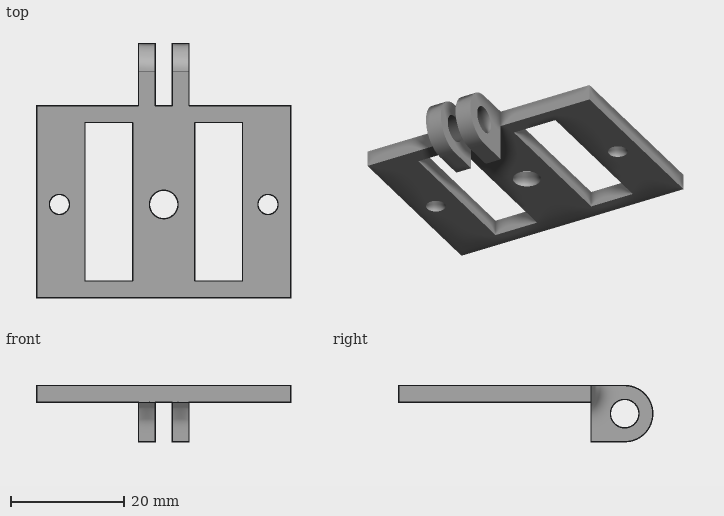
import cadquery as cq

plate_width = 45.0
total_depth = 45.0
thickness = 3.0

lug_height = 10.0
lug_radius = lug_height / 2
lug_length = 11.0
lug_thickness = thickness
lug_gap = 2.95
pin_diameter = 5.0
plate_depth = total_depth - lug_length

web_width = 11.0
window_width = 8.4
window_border = thickness
window_length = plate_depth - 2 * window_border

center_hole_diameter = 5.0
side_hole_diameter = 3.5
side_hole_spacing = 36.9
hole_line_y = -17.5


def make_plate():
    plate = cq.Workplane("XY").box(
        plate_width, plate_depth, thickness, centered=(True, False, False)
    )
    return plate.translate((0, -plate_depth, -thickness))


def make_windows():
    offset = (web_width + window_width) / 2
    return (
        cq.Workplane("XY")
        .pushPoints([(-offset, -plate_depth / 2), (offset, -plate_depth / 2)])
        .rect(window_width, window_length)
        .extrude(-thickness)
    )


def make_plate_holes():
    center_hole = (
        cq.Workplane("XY")
        .center(0, hole_line_y)
        .circle(center_hole_diameter / 2)
        .extrude(-thickness)
    )
    side_holes = (
        cq.Workplane("XY")
        .pushPoints([(side * side_hole_spacing / 2, hole_line_y) for side in (-1, 1)])
        .circle(side_hole_diameter / 2)
        .extrude(-thickness)
    )
    return center_hole.union(side_holes)


def make_lug(x_start):
    """Round-ended lug with a pin hole, extending +X from x_start."""
    pin_y = lug_length - lug_radius
    outline = (
        cq.Workplane("YZ", origin=(x_start, 0, 0))
        .lineTo(pin_y, 0)
        .threePointArc((lug_length, -lug_radius), (pin_y, -lug_height))
        .lineTo(0, -lug_height)
        .close()
        .extrude(lug_thickness)
    )
    pin_hole = (
        cq.Workplane("YZ", origin=(x_start, pin_y, -lug_radius))
        .circle(pin_diameter / 2)
        .extrude(lug_thickness)
    )
    return outline.cut(pin_hole)


result = make_plate().cut(make_windows()).cut(make_plate_holes())
for lug_start in (-lug_gap / 2 - lug_thickness, lug_gap / 2):
    result = result.union(make_lug(lug_start))